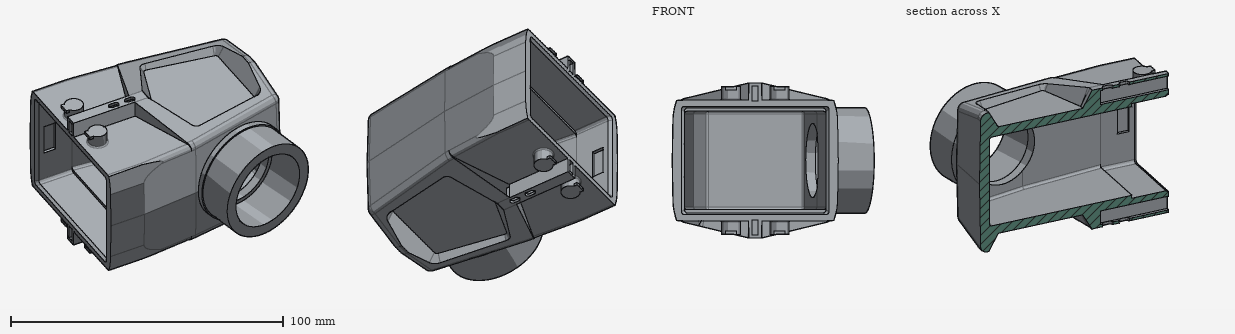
import cadquery as cq
import math


OVERALL_DEPTH = 79.65

MOUTH_HALF_WIDTH = 30.5
STRAIGHT_LENGTH = 14.1
SHOULDER_HALF_WIDTH = 28.5
SHOULDER_Y = 36.95
BACK_HALF_WIDTH = 20.7
BACK_Y = 77.5
DRAFT = 1.0
ROOF_EDGE_RADIUS = 2.9
PANEL_EDGE_RADIUS = 2.15
SIDE_EDGE_MIN_X = 15.9

OVERRUN = 8.0
OVERLAP = 0.8

RIDGE_Z = 28.5
RIDGE_HALF_WIDTH = 2.2
PANEL_Z = 22.15
PANEL_APEX_Y = 25.8
PANEL_SIDE_HALF_WIDTH = 28.7
PANEL_SIDE_Y = 35.3

FLAT_SIDE_Z = 14.5
MOUTH_CORNER_HALF_WIDTH = 28.8

POCKET_FLOOR_Z = 21.9
POCKET_WALL_ANGLE = 30.0
POCKET_FRONT_HALF_WIDTH = 1.6
POCKET_FRONT_Y = 35.2
POCKET_SIDE_HALF_WIDTH = 19.8
POCKET_SIDE_Y = 41.65
POCKET_BACK_HALF_WIDTH = 14.65
POCKET_BACK_Y = 69.7
POCKET_CORNER_RADIUS = 1.2

MOUTH_OPENING_HALF_WIDTH = 27.1
MOUTH_OPENING_HALF_HEIGHT = 19.9
BEVEL_DEPTH = 1.2
LIP_HALF_HEIGHT = 19.3
LIP_CORNER_RADIUS = 1.2
LIP_DEPTH = 15.1
CAVITY_HALF_HEIGHT = 18.1
CAVITY_HALF_WIDTH = 26.0
CAVITY_SHOULDER_HALF_WIDTH = 22.6
CAVITY_SHOULDER_Y = 48.6
CAVITY_BACK_HALF_WIDTH = 18.0
CAVITY_BACK_Y = 73.3
CAVITY_RADIUS = 0.95
LATCH_DEPTH = 1.2
LATCH_Y = 5.7
LATCH_LENGTH = 4.8
LATCH_HEIGHT = 12.3

OUTLET_TILT = 10.7
OUTLET_RADIUS = 19.4
OUTLET_END_X = 40.1
OUTLET_END_Y = OVERALL_DEPTH - OUTLET_RADIUS * math.cos(math.radians(OUTLET_TILT))
OUTLET_LENGTH = 19.35
COLLAR_RADIUS = 20.0
COLLAR_SETBACK = 13.85
BORE_RADIUS = 13.6
COUNTERBORE_RADIUS = 15.2
COUNTERBORE_DEPTH = 15.85

RIB_BASE_HALF_WIDTH = 2.5
CHANNEL_HALF_WIDTH = 1.1
CHANNEL_BOTTOM_Z = 21.9
CHANNEL_TOP_Z = 27.3
CHANNEL_LENGTH = 27.9
SLOT_LENGTH = 4.1
SLOT_WIDTH = 2.15
SLOT_YS = (18.15, 24.9)

PEG_X = 8.9
PEG_Y = 6.4
PEG_RADIUS = 3.5
PEG_TOP_Z = 27.15
PEG_FOOT = 0.5
TAB_HALF_WIDTH = 2.0
TAB_REACH = 4.3
TAB_THICKNESS = 1.2


def mirrored_points(right_side):
    """Close a chain of right-hand points with its mirror image in X."""
    return right_side + [(-x, y) for x, y in reversed(right_side)]


def mirrored_in_z(half):
    """Join a shape with its mirror image below the parting plane."""
    return half.union(half.mirror("XY"))


def roof_z(x):
    """Height of the sloping roof, which comes down to the panels at the ends of the step."""
    fall = (RIDGE_Z - PANEL_Z) / (PANEL_SIDE_HALF_WIDTH - RIDGE_HALF_WIDTH)
    return RIDGE_Z - fall * (x - RIDGE_HALF_WIDTH)


def drafted_block(height):
    """Upper half of the hood outline, carried on past the mouth plane."""
    outline = mirrored_points([
        (MOUTH_HALF_WIDTH, -OVERRUN),
        (MOUTH_HALF_WIDTH, STRAIGHT_LENGTH),
        (SHOULDER_HALF_WIDTH, SHOULDER_Y),
        (BACK_HALF_WIDTH, BACK_Y),
    ])
    return cq.Workplane("XY").polyline(outline).close().extrude(height, taper=DRAFT)


def roof_prism():
    """Flat ridge with a plane falling away to each side."""
    eave = MOUTH_HALF_WIDTH + OVERRUN
    roof = mirrored_points([(eave, 0), (eave, roof_z(eave)), (RIDGE_HALF_WIDTH, RIDGE_Z)])
    return along_y(cq.Workplane("XZ").polyline(roof).close())


def along_y(profile):
    """Extrude an XZ profile over the whole depth of the hood and past both ends."""
    return profile.extrude(-(BACK_Y + 2 * OVERRUN)).translate((0, -OVERRUN, 0))


def is_outer_edge(edge):
    """Edges along the sides and back, above the parting plane and behind the mouth."""
    center = edge.Center()
    box = edge.BoundingBox()
    on_side_or_back = abs(center.x) > SIDE_EDGE_MIN_X or center.y > BACK_Y - ROOF_EDGE_RADIUS
    lengthwise = box.ylen > box.zlen or box.xlen > box.zlen
    return center.z > FLAT_SIDE_Z and center.y > 0 and on_side_or_back and lengthwise


def is_back_corner(edge):
    """Upright edges where the sides meet the back."""
    box = edge.BoundingBox()
    return box.ymin > BACK_Y - ROOF_EDGE_RADIUS and box.zlen > box.xlen


def round_outer_edges(body, radius):
    edges = [e for e in body.edges().vals() if is_outer_edge(e) or is_back_corner(e)]
    return cq.Workplane(body.val().fillet(radius, edges))


def front_region():
    """Space ahead of the V-shaped step, where the two panels lie below the roof."""
    step_slope = (PANEL_SIDE_Y - PANEL_APEX_Y) / (PANEL_SIDE_HALF_WIDTH - RIB_BASE_HALF_WIDTH)
    wide_x = MOUTH_HALF_WIDTH + OVERRUN
    wide_y = PANEL_APEX_Y + step_slope * (wide_x - RIB_BASE_HALF_WIDTH)
    outline = mirrored_points([
        (wide_x, -OVERRUN),
        (wide_x, wide_y),
        (RIB_BASE_HALF_WIDTH, PANEL_APEX_Y),
    ])
    return cq.Workplane("XY").polyline(outline).close().extrude(RIDGE_Z + OVERLAP)


def mouth_prism():
    """End shape of the mouth: drafted sides curling in to the panel height."""
    flat_half_width = MOUTH_HALF_WIDTH - FLAT_SIDE_Z * math.tan(math.radians(DRAFT))
    right_side = (
        cq.Workplane("XZ")
        .lineTo(MOUTH_HALF_WIDTH, 0)
        .lineTo(flat_half_width, FLAT_SIDE_Z)
        .tangentArcPoint((MOUTH_CORNER_HALF_WIDTH, PANEL_Z), relative=False)
        .lineTo(0, PANEL_Z)
        .close()
    )
    right = along_y(right_side)
    return right.union(right.mirror("YZ"))


def rib():
    """Drafted centre rib that carries the ridge forward to the mouth."""
    profile = mirrored_points([(RIB_BASE_HALF_WIDTH, CHANNEL_BOTTOM_Z), (RIDGE_HALF_WIDTH, RIDGE_Z)])
    return cq.Workplane("XZ").polyline(profile).close().extrude(-(PANEL_APEX_Y + OVERLAP))


def peg(x):
    """Locking peg with a flared foot and a tab under its rim towards the mouth."""
    stem = (
        cq.Workplane("XZ")
        .moveTo(0, PANEL_Z - OVERLAP)
        .lineTo(PEG_RADIUS + PEG_FOOT, PANEL_Z - OVERLAP)
        .lineTo(PEG_RADIUS + PEG_FOOT, PANEL_Z)
        .radiusArc((PEG_RADIUS, PANEL_Z + PEG_FOOT), PEG_FOOT)
        .lineTo(PEG_RADIUS, PEG_TOP_Z)
        .lineTo(0, PEG_TOP_Z)
        .close()
        .revolve(360, (0, 0), (0, 1))
    )
    tab = (
        cq.Workplane("XY", origin=(0, 0, PEG_TOP_Z - TAB_THICKNESS))
        .center(0, -TAB_REACH / 2)
        .rect(2 * TAB_HALF_WIDTH, TAB_REACH)
        .extrude(TAB_THICKNESS)
    )
    return stem.union(tab).translate((x, PEG_Y, 0))


def pocket():
    """Shield-shaped pocket with sloping walls, cut down through the ridge."""
    floor = mirrored_points([
        (POCKET_FRONT_HALF_WIDTH, POCKET_FRONT_Y),
        (POCKET_SIDE_HALF_WIDTH, POCKET_SIDE_Y),
        (POCKET_BACK_HALF_WIDTH, POCKET_BACK_Y),
    ])
    sketch = cq.Sketch().polygon(floor + floor[:1])
    sketch = sketch.vertices(">X or <X or >Y").fillet(POCKET_CORNER_RADIUS)
    return (
        cq.Workplane("XY", origin=(0, 0, POCKET_FLOOR_Z))
        .placeSketch(sketch)
        .extrude(RIDGE_Z - POCKET_FLOOR_Z + OVERLAP, taper=-POCKET_WALL_ANGLE)
    )


def upper_half():
    """Solid hood above the parting plane with its rib, pocket and pegs."""
    front = front_region()
    ridged = drafted_block(RIDGE_Z).intersect(roof_prism())
    ridged = round_outer_edges(ridged, ROOF_EDGE_RADIUS).cut(front)
    paneled = round_outer_edges(drafted_block(PANEL_Z), PANEL_EDGE_RADIUS).intersect(front)
    paneled = paneled.intersect(mouth_prism())
    stock_ahead = cq.Workplane("XZ").rect(4 * MOUTH_HALF_WIDTH, 4 * RIDGE_Z).extrude(2 * OVERRUN)
    half = ridged.union(paneled).cut(stock_ahead)
    half = half.union(rib()).cut(pocket())
    for x in (-PEG_X, PEG_X):
        half = half.union(peg(x))
    return half


def rib_openings():
    """Channel running back from the mouth inside each rib, with slots through its top."""
    channel = (
        cq.Workplane("XY", origin=(0, 0, CHANNEL_BOTTOM_Z))
        .box(2 * CHANNEL_HALF_WIDTH, CHANNEL_LENGTH, CHANNEL_TOP_Z - CHANNEL_BOTTOM_Z,
             centered=(True, False, False))
    )
    slots = (
        cq.Workplane("XY", origin=(0, 0, CHANNEL_BOTTOM_Z))
        .pushPoints([(0, y) for y in SLOT_YS])
        .slot2D(SLOT_LENGTH, SLOT_WIDTH, 90)
        .extrude(RIDGE_Z - CHANNEL_BOTTOM_Z + OVERLAP)
    )
    return mirrored_in_z(channel.union(slots))


def opening_sketch(half_width, half_height):
    """Rounded rectangle for the mouth opening."""
    opening = cq.Sketch().rect(2 * half_width, 2 * half_height)
    return opening.vertices().fillet(LIP_CORNER_RADIUS)


def cavity():
    """Tapering chamber, a taller lip bevelled at the mouth, and a recess in each side wall."""
    outline = mirrored_points([
        (CAVITY_HALF_WIDTH, 0),
        (CAVITY_HALF_WIDTH, LIP_DEPTH),
        (CAVITY_SHOULDER_HALF_WIDTH, CAVITY_SHOULDER_Y),
        (CAVITY_BACK_HALF_WIDTH, CAVITY_BACK_Y),
    ])
    chamber = (
        cq.Workplane("XY").polyline(outline).close()
        .extrude(CAVITY_HALF_HEIGHT, both=True)
        .edges("(#Z or >Y) and (not <Y)").fillet(CAVITY_RADIUS)
    )
    lip_section = opening_sketch(CAVITY_HALF_WIDTH, LIP_HALF_HEIGHT)
    lip = cq.Workplane("XZ").placeSketch(lip_section).extrude(-LIP_DEPTH)
    bevel = (
        cq.Workplane("XZ")
        .placeSketch(
            opening_sketch(MOUTH_OPENING_HALF_WIDTH, MOUTH_OPENING_HALF_HEIGHT),
            lip_section.moved(cq.Location(cq.Vector(0, 0, -BEVEL_DEPTH))),
        )
        .loft()
    )
    latches = (
        cq.Workplane("XY", origin=(0, LATCH_Y, 0))
        .box(2 * (CAVITY_HALF_WIDTH + LATCH_DEPTH), LATCH_LENGTH, LATCH_HEIGHT)
    )
    return chamber.union(lip).union(bevel).union(latches)


def outlet_cylinder(radius, length, setback=0):
    """Cylinder on the outlet axis, running inwards from a plane behind the outlet end."""
    tilt = math.radians(OUTLET_TILT)
    axis = cq.Vector(math.cos(tilt), math.sin(tilt), 0)
    start = cq.Vector(OUTLET_END_X, OUTLET_END_Y, 0) - axis * setback
    return cq.Workplane(cq.Solid.makeCylinder(radius, length, start, axis * -1))


hood = mirrored_in_z(upper_half())
hood = hood.union(outlet_cylinder(OUTLET_RADIUS, OUTLET_LENGTH))
hood = hood.union(outlet_cylinder(COLLAR_RADIUS, OUTLET_LENGTH - COLLAR_SETBACK, COLLAR_SETBACK))
hood = hood.cut(cavity()).cut(rib_openings())
hood = hood.cut(outlet_cylinder(BORE_RADIUS, OUTLET_LENGTH + BORE_RADIUS))
result = hood.cut(outlet_cylinder(COUNTERBORE_RADIUS, COUNTERBORE_DEPTH))